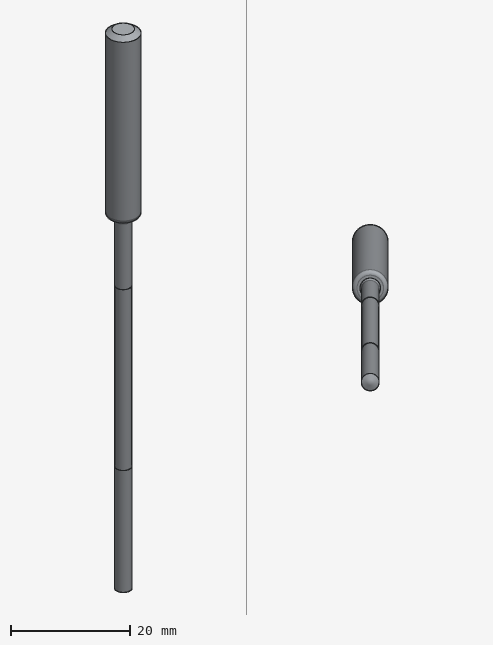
import cadquery as cq
import math

total_length = 111.0
shank_diameter = 6.0
cutting_diameter = 3.0
upper_shaft_diameter = 3.0
lower_shaft_diameter = 2.9

cutting_top = 24.6
relief_top = 60.4
root_bottom = 73.4
shank_bottom = 74.1

top_chamfer_width = 1.1
top_chamfer_height = 0.8

bottom_fillet = 0.8

root_width = 0.2

point_angle = 140.0

shank_radius = shank_diameter / 2
cutting_radius = cutting_diameter / 2
upper_shaft_radius = upper_shaft_diameter / 2
lower_shaft_radius = lower_shaft_diameter / 2
point_height = cutting_radius / math.tan(math.radians(point_angle / 2))


def revolved(profile):
    """Turn (radius, height) points, which start and end on the axis, into a solid about Z."""
    return cq.Workplane("XZ").polyline(profile).close().revolve(360, (0, 0, 0), (0, 1, 0))


def make_holder():
    """Stepped shaft flaring into a shank, chamfered on top and rounded below."""
    blank = revolved([
        (0, cutting_top),
        (lower_shaft_radius, cutting_top),
        (lower_shaft_radius, relief_top),
        (upper_shaft_radius, relief_top),
        (upper_shaft_radius, root_bottom),
        (upper_shaft_radius + root_width, shank_bottom),
        (shank_radius, shank_bottom),
        (shank_radius, total_length - top_chamfer_height),
        (shank_radius - top_chamfer_width, total_length),
        (0, total_length),
    ])
    underside = cq.selectors.BoxSelector(
        (-shank_diameter, -shank_diameter, shank_bottom - bottom_fillet / 2),
        (shank_diameter, shank_diameter, shank_bottom + bottom_fillet / 2),
    )
    outermost = cq.selectors.RadiusNthSelector(-1)
    return blank.edges("%CIRCLE").edges(underside).edges(outermost).fillet(bottom_fillet)


def make_cutting_part():
    """Cylindrical cutting part with a conical point."""
    return revolved([
        (0, 0),
        (cutting_radius, point_height),
        (cutting_radius, cutting_top),
        (0, cutting_top),
    ])


holder = make_holder()
cutting_part = make_cutting_part()

result = cq.Compound.makeCompound([holder.val(), cutting_part.val()])